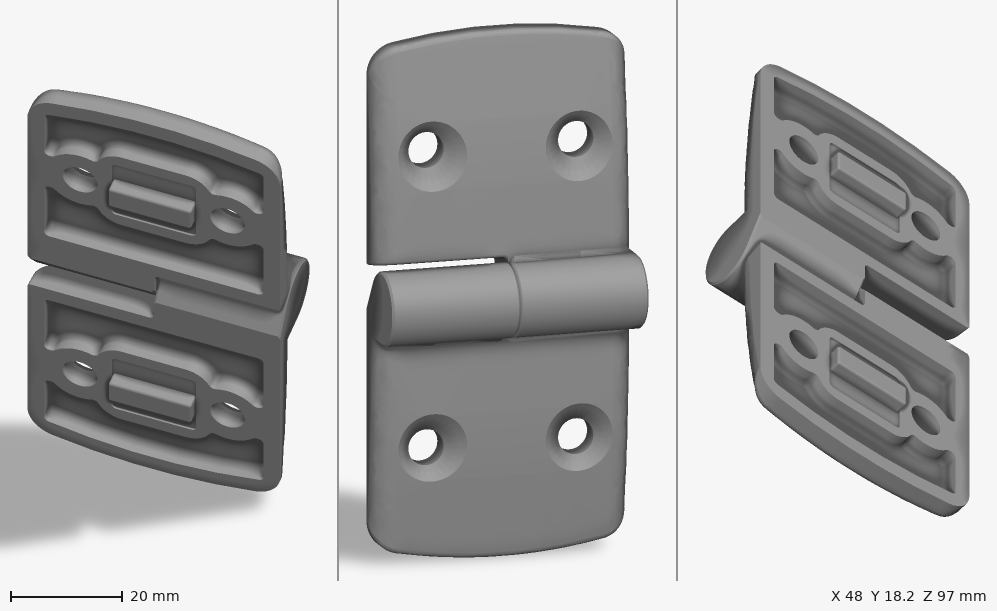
import cadquery as cq
import math

half_width = 24.01
half_height = 48.5
end_bow_radius = 103.8
corner_radius = 5.8
crest_y = 8.0
crest_z = 9.5
slope_radius = 198.85
crown_radius = 291.0
side_round = 4.3
end_round = 1.2
hinge_edge_z = 6.0
hinge_edge_tilt = 11.5

knuckle_radius = 6.8
axis_y = 9.17
knuckle_toe_z = 1.4
knuckle_chamfer = 0.4
knuckle_blend = 1.0
inner_corner_round = 1.0
hinge_edge_round = 0.6
plate_bottom_z = hinge_edge_z - inner_corner_round

fixing_z = 27.4
hole_offset = 14.02
hole_diameter = 6.6
countersink_y = 3.8

side_wall = 3.15
end_wall = 3.3
hollow_bottom_z = 9.0
hollow_depth = 3.2
hollow_corner_round = 1.1
hollow_floor_round = 0.92
web_half_height = 4.4
hole_boss_radius = 6.7
key_boss_half_height = 9.5
key_boss_flat_half = 6.0
key_boss_corner = 5.1

key_plate_width = 16.1
key_plate_height = 14.0
key_plate_corner = 1.0
key_plate_thickness = 1.6
key_plate_sink = 0.4
rib_width = 15.7
rib_height = 4.85
rib_projection = 2.28
rib_round = 0.5

bulk = 19.4


def on_mounting_face(y=0.0):
    """XZ workplane at the given y; negative extrusions run towards +Y."""
    return cq.Workplane(cq.Plane(origin=(0, y, 0), xDir=(1, 0, 0), normal=(0, -1, 0)))


def bowed_outline(half_span, bottom_z, top_z, bow_radius):
    """Rectangle whose upper edge is a shallow arc."""
    shoulder_z = top_z - bow_radius + math.sqrt(bow_radius**2 - half_span**2)
    return (
        on_mounting_face()
        .moveTo(-half_span, bottom_z)
        .lineTo(half_span, bottom_z)
        .lineTo(half_span, shoulder_z)
        .threePointArc((0, top_z), (-half_span, shoulder_z))
        .close()
    )


def make_crowned_block():
    """Block with the doubly curved outer surface and rounded long sides."""
    over_z = half_height + 1
    sweep = math.asin((over_z - crest_z) / slope_radius)
    arc_mid = (
        crest_y - slope_radius * (1 - math.cos(sweep / 2)),
        crest_z + slope_radius * math.sin(sweep / 2),
    )
    arc_end = (crest_y - slope_radius * (1 - math.cos(sweep)), over_z)
    crown_axis_y = crest_y - crown_radius
    spread = 12.0
    crown = (
        cq.Workplane("YZ")
        .moveTo(-1, plate_bottom_z)
        .lineTo(crest_y, plate_bottom_z)
        .lineTo(crest_y, crest_z)
        .threePointArc(arc_mid, arc_end)
        .lineTo(-1, over_z)
        .close()
        .revolve(spread, (crown_axis_y, 0), (crown_axis_y, 1))
        .rotate((0, crown_axis_y, 0), (0, crown_axis_y, 1), -spread / 2)
    )
    slab = cq.Workplane("XY").box(2 * half_width, bulk, bulk * 5, centered=(True, False, True))
    block = slab.intersect(crown)
    long_edges = cq.selectors.BoxSelector(
        (-bulk * 5, crest_y / 3, plate_bottom_z + 0.1),
        (bulk * 5, bulk, half_height),
    )
    return block.faces("<X or >X").edges(long_edges).fillet(side_round)


def make_plate():
    """Crowned block trimmed to the leaf outline, with rounded corners and end."""
    outline = (
        bowed_outline(half_width, plate_bottom_z, half_height, end_bow_radius)
        .extrude(-bulk)
        .edges("|Y")
        .edges(">Z")
        .fillet(corner_radius)
    )
    end_zone = cq.selectors.BoxSelector(
        (-half_width, crest_y / 2 - 1, half_height - corner_radius - 1),
        (half_width, crest_y, half_height + 1),
    )
    return make_crowned_block().intersect(outline).edges(end_zone).fillet(end_round)


def make_knuckle():
    """Barrel, flat-topped towards the leaf and slanted down to the mounting face."""
    axis_distance = math.hypot(axis_y, knuckle_toe_z)
    tangent_length = math.sqrt(axis_distance**2 - knuckle_radius**2)
    slant = math.atan2(knuckle_toe_z, axis_y) + math.asin(knuckle_radius / axis_distance)
    tangent_y = tangent_length * math.cos(slant)
    tangent_z = knuckle_toe_z - tangent_length * math.sin(slant)
    arc_mid = (
        axis_y + knuckle_radius * math.cos(slant / 2),
        -knuckle_radius * math.sin(slant / 2),
    )
    knuckle = (
        cq.Workplane("YZ", origin=(-half_width, 0, 0))
        .moveTo(0, knuckle_toe_z)
        .lineTo(0, knuckle_radius)
        .lineTo(axis_y, knuckle_radius)
        .threePointArc(arc_mid, (tangent_y, tangent_z))
        .close()
        .extrude(half_width)
    )
    rim = knuckle.faces("<X or >X").edges().filter(lambda edge: edge.Center().z < knuckle_toe_z)
    return rim.chamfer(knuckle_chamfer)


def make_knuckle_clearance():
    """Wedge that tilts the hinge-side edge where the other knuckle turns."""
    top_z = hinge_edge_z + bulk * math.tan(math.radians(hinge_edge_tilt))
    return (
        cq.Workplane("YZ")
        .polyline([(0, hinge_edge_z), (bulk, top_z), (bulk, 0), (0, 0)])
        .close()
        .extrude(2 * half_width)
        .edges(cq.selectors.BoxSelector((-0.1, 1, hinge_edge_z), (0.1, bulk - 1, top_z)))
        .fillet(inner_corner_round)
    )


def make_screw_holes():
    """Bores with a 90 degree countersink opening to the outer side of the leaf."""
    centres = [(-hole_offset, fixing_z), (hole_offset, fixing_z)]
    sink_height = crest_y - countersink_y
    bores = on_mounting_face().pushPoints(centres).circle(hole_diameter / 2).extrude(-bulk)
    countersinks = (
        on_mounting_face(countersink_y)
        .pushPoints(centres)
        .circle(hole_diameter / 2)
        .extrude(-sink_height, taper=-45)
    )
    return bores.union(countersinks)


def make_hollows():
    """Two hollows, above and below the bosses round the screw holes and the key."""
    half_span = half_width - side_wall
    key_boss_half_width = key_boss_flat_half + key_boss_corner
    hollows = bowed_outline(
        half_span, hollow_bottom_z, half_height - end_wall, end_bow_radius - end_wall
    ).extrude(-hollow_depth)
    key_boss = (
        on_mounting_face()
        .center(0, fixing_z)
        .rect(2 * key_boss_half_width, 2 * key_boss_half_height)
        .extrude(-hollow_depth)
        .edges("|Y")
        .fillet(key_boss_corner)
    )
    hole_bosses = (
        on_mounting_face()
        .center(0, fixing_z)
        .pushPoints([(-hole_offset, 0), (hole_offset, 0)])
        .circle(hole_boss_radius)
        .extrude(-hollow_depth)
    )
    web = (
        on_mounting_face()
        .center(0, fixing_z)
        .rect(2 * half_width, 2 * web_half_height)
        .extrude(-hollow_depth)
    )
    hollows = hollows.cut(key_boss).cut(hole_bosses).cut(web)
    corners = hollows.edges("|Y").filter(lambda edge: abs(edge.Center().x) > key_boss_flat_half + 0.1)
    return corners.fillet(hollow_corner_round).faces(">Y").edges().fillet(hollow_floor_round)


def make_key_plate(start_y, thickness):
    """Rounded rectangular plate, also used as the cutter for its recess."""
    return (
        on_mounting_face(start_y)
        .center(0, fixing_z)
        .rect(key_plate_width, key_plate_height)
        .extrude(-thickness)
        .edges("|Y")
        .fillet(key_plate_corner)
    )


def make_barrel_half(plate):
    """The x < 0 half of the leaf, joined to its knuckle by a small blend."""
    side = cq.Workplane("XY").box(bulk * 5, bulk * 5, bulk * 10).translate((-bulk * 2.5, 0, 0))
    joined = plate.intersect(side).union(make_knuckle())
    root_zone = cq.selectors.BoxSelector(
        (-half_width + 1, crest_y / 2 - 1, knuckle_radius - 0.01),
        (-1, axis_y - 0.2, knuckle_radius + 0.01),
    )
    return joined.edges(root_zone).fillet(knuckle_blend)


def make_plain_half(plate):
    """The x > 0 half of the leaf, with its hinge-side edge rounded."""
    side = cq.Workplane("XY").box(bulk * 5, bulk * 5, bulk * 10).translate((bulk * 2.5, 0, 0))
    hinge_zone = cq.selectors.BoxSelector((1.9, 0.5, hinge_edge_z), (bulk * 2, axis_y, knuckle_radius + 1))
    cleared = plate.cut(make_knuckle_clearance())
    return cleared.edges(hinge_zone).fillet(hinge_edge_round).intersect(side)


def make_leaf():
    """Hinge leaf with its knuckle, screw holes, hollows and key recess."""
    plate = make_plate()
    leaf = make_barrel_half(plate).union(make_plain_half(plate))
    leaf = leaf.cut(make_screw_holes()).cut(make_hollows())
    return leaf.cut(make_key_plate(0, key_plate_sink + key_plate_thickness))


def make_key():
    """Plate sunk in the leaf's recess with a rib standing out of the mounting face."""
    plate = make_key_plate(key_plate_sink, key_plate_thickness)
    rib = (
        on_mounting_face(-rib_projection)
        .center(0, fixing_z)
        .rect(rib_width, rib_height)
        .extrude(-(rib_projection + key_plate_sink))
        .edges("|Y or <Y")
        .fillet(rib_round)
    )
    return plate.union(rib)


bodies = []
for turn in (0, 180):
    for body in (make_leaf(), make_key()):
        bodies.append(body.rotate((0, 0, 0), (0, 1, 0), turn).val())

result = cq.Compound.makeCompound(bodies)